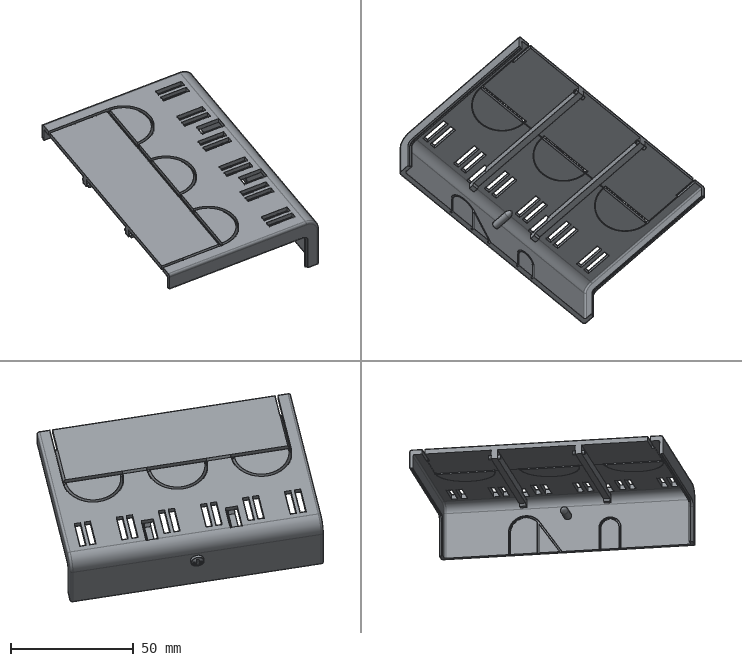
import cadquery as cq
import math

width = 105.0
depth = 70.0
height = 25.0
plate_thickness = 2.0
side_thickness = 1.5
bend_radius = 6.0
side_edge_radius = 1.0
inner_edge_radius = 0.7

side_drop = 8.0
side_leg = 6.0
lip_step_up = 0.4
lip_step_back = 0.7
lip_thickness = 0.6
lip_corner_radius = 2.0

pitch = 17.4
vent_width = 2.5
vent_spacing = 4.1
vent_front = 49.9
vent_back = 61.8
vent_pair_places = [(i - 2.5) * pitch for i in range(6)]
window_width = 4.9
window_front = 53.7
window_back = depth - bend_radius

groove_width = 1.2
groove_floor = 0.3
web_thickness = 0.3
slit_front = 26.7
slit_back = 28.1
disc_radius = 12.4
disc_pitch = 2 * pitch
disc_places = [-disc_pitch, 0, disc_pitch]
flap_edge = disc_pitch + disc_radius
open_groove_length = 9.9

rib_places = [-pitch, pitch]
rib_width = 2.6
rib_bottom = 19.3
finger_top = 21.6
finger_ramp = 1.0
finger_gap = 0.2
hook_drop = 1.0
hook_ramp = 0.6
hook_length = 2.6
pin_radius = 0.8
pin_length = 1.2
pin_center_y = 1.2

arch_center_z = 9.0
arch_groove_width = 0.7
arch_groove_depth = 0.9
wide_arch_radius = 7.1
narrow_arch_radius = 4.5
brace_angle = 35.0
wide_arch_right = 5.5

screw_z = 15.0
screw_head_radius = 2.7
screw_dome_radius = 2.5
screw_rim = 1.2
screw_head_height = 2.2
screw_shank_radius = 1.6
screw_shank_length = 9.5
screw_tip_length = 2.4
screw_tip_mid_radius = 1.2
screw_slot_width = 1.0
screw_slot_length = 3.8
screw_slot_depth = 0.7

plate_bottom = height - plate_thickness
wall_inside = depth - plate_thickness


def box(x0, x1, y0, y1, z0, z1):
    return cq.Workplane("XY").box(x1 - x0, y1 - y0, z1 - z0, centered=False).translate((x0, y0, z0))


def extrude_along_x(outline, x0, x1):
    """Extrude a closed YZ outline from x0 to x1."""
    return outline.extrude(x1 - x0).translate((x0, 0, 0))


def l_outline(drop, leg, corner_radius):
    """Filled L: front arm of the given drop, back leg of the given length."""
    arm_z = height - drop
    leg_y = depth - leg
    diagonal = corner_radius * (1 - math.sqrt(0.5))
    return (
        cq.Workplane("YZ")
        .moveTo(0, height)
        .lineTo(depth, height)
        .lineTo(depth, 0)
        .lineTo(leg_y, 0)
        .lineTo(leg_y, arm_z - corner_radius)
        .threePointArc((leg_y - diagonal, arm_z - diagonal), (leg_y - corner_radius, arm_z))
        .lineTo(0, arm_z)
        .close()
    )


def make_shell():
    body = box(-width / 2, width / 2, 0, depth, 0, height)
    body = body.edges("|X and >Y and >Z").fillet(bend_radius)
    body = body.faces(">Z").edges("|Y").fillet(side_edge_radius)

    inner_half = width / 2 - side_thickness
    cavity = box(-inner_half, inner_half, -depth, wall_inside, -height, plate_bottom)
    cavity = cavity.edges("|X and >Y and >Z").fillet(bend_radius - plate_thickness)
    cavity = cavity.faces(">Z").edges("|Y").fillet(inner_edge_radius)
    body = body.cut(cavity)

    half = width / 2
    lip_half = half - side_thickness + lip_thickness
    lip_profile = extrude_along_x(l_outline(side_drop, side_leg, lip_corner_radius), -lip_half, lip_half)
    outer_outline = l_outline(
        side_drop - lip_step_up, side_leg - lip_step_back, lip_corner_radius + lip_step_up
    )
    outer_profile = extrude_along_x(outer_outline, -half, half)
    return body.intersect(lip_profile.union(outer_profile))


def cut_vents(body):
    for pair_x in vent_pair_places:
        for side in (-1, 1):
            x = pair_x + side * vent_spacing / 2
            vent = box(x - vent_width / 2, x + vent_width / 2, vent_front, vent_back, plate_bottom, height)
            body = body.cut(vent)
    return body


def cut_finger_windows(body):
    for x in rib_places:
        half = window_width / 2
        body = body.cut(box(x - half, x + half, window_front, window_back, plate_bottom, height))
    return body


def groove_profile(plane, outer, inner):
    """Groove with an upright outer wall, a narrow floor and a slope up to the inner edge."""
    floor_z = plate_bottom + web_thickness
    floor_end = outer + math.copysign(groove_floor, inner - outer)
    corners = [(outer, height), (outer, floor_z), (floor_end, floor_z), (inner, height)]
    return cq.Workplane(plane).polyline(corners).close()


def cut_half_discs(body):
    for x in disc_places:
        ring = groove_profile("XZ", disc_radius, disc_radius - groove_width)
        ring = ring.revolve(180, (0, 0, 0), (0, 1, 0)).translate((x, slit_back, 0))
        slit = box(x - disc_radius, x + disc_radius, slit_front, slit_back, plate_bottom, height)
        body = body.cut(ring).cut(slit)
    return body


def cut_flap_edges(body):
    bridge = groove_profile("YZ", slit_back, slit_front)
    body = body.cut(extrude_along_x(bridge, -disc_pitch, disc_pitch))

    for side in (-1, 1):
        outer = side * flap_edge
        inner = side * (flap_edge - groove_width)
        groove = groove_profile("XZ", outer, inner).extrude(-slit_back)
        opening = box(min(outer, inner), max(outer, inner), 0, open_groove_length, plate_bottom, height)
        body = body.cut(groove).cut(opening)
    return body


def make_rib():
    free_end = window_back - finger_gap
    outline = (
        cq.Workplane("YZ")
        .moveTo(0, plate_bottom)
        .lineTo(0, rib_bottom)
        .lineTo(free_end - hook_length, rib_bottom)
        .lineTo(free_end - hook_length + hook_ramp, rib_bottom - hook_drop)
        .lineTo(free_end, rib_bottom - hook_drop)
        .lineTo(free_end, finger_top)
        .lineTo(window_front + finger_ramp, finger_top)
        .lineTo(window_front, plate_bottom)
        .close()
    )
    rib = extrude_along_x(outline, -rib_width / 2, rib_width / 2)
    pin_reach = rib_width / 2 + pin_length
    pins = cq.Workplane("YZ").center(pin_center_y, rib_bottom + pin_radius).circle(pin_radius)
    return rib.union(extrude_along_x(pins, -pin_reach, pin_reach))


def wall_groove(outline):
    """Cutter standing in the inner face of the back wall."""
    return outline.extrude(-arch_groove_depth).translate((0, wall_inside, 0))


def arch_outline(x, radius):
    return (
        cq.Workplane("XZ")
        .moveTo(x - radius, 0)
        .lineTo(x - radius, arch_center_z)
        .threePointArc((x, arch_center_z + radius), (x + radius, arch_center_z))
        .lineTo(x + radius, 0)
        .close()
    )


def braced_arch_outline(x, radius):
    """Arch whose right side runs off along a slanted tangent down to Z = 0."""
    c = math.cos(math.radians(brace_angle))
    s = math.sin(math.radians(brace_angle))
    tangent = (x + radius * c, arch_center_z + radius * s)
    foot_x = tangent[0] + tangent[1] * s / c
    return (
        cq.Workplane("XZ")
        .moveTo(x - radius, 0)
        .lineTo(x - radius, arch_center_z)
        .threePointArc((x, arch_center_z + radius), tangent)
        .lineTo(foot_x, 0)
        .close()
    )


def cut_arches(body):
    left_x, right_x = rib_places
    narrow_inner = narrow_arch_radius - arch_groove_width
    wide_inner = wide_arch_radius - arch_groove_width

    narrow = wall_groove(arch_outline(right_x, narrow_arch_radius))
    narrow = narrow.cut(wall_groove(arch_outline(right_x, narrow_inner)))

    wide = wall_groove(braced_arch_outline(left_x, wide_arch_radius))
    wide_core = wall_groove(braced_arch_outline(left_x, wide_inner))
    upright_x = left_x + wide_arch_right
    upright = box(upright_x - arch_groove_width, upright_x, 0, depth, 0, height)
    wide = wide.cut(wide_core.cut(upright))

    return body.cut(narrow).cut(wide)


def make_screw():
    dome_rise = screw_head_height - screw_rim
    dome_sphere_radius = (screw_dome_radius**2 + dome_rise**2) / (2 * dome_rise)
    tip_end = -(screw_shank_length + screw_tip_length)
    profile = (
        cq.Workplane("XY")
        .moveTo(0, tip_end)
        .threePointArc(
            (screw_tip_mid_radius, -screw_shank_length - screw_tip_length / 2),
            (screw_shank_radius, -screw_shank_length),
        )
        .lineTo(screw_shank_radius, 0)
        .lineTo(screw_head_radius, 0)
        .lineTo(screw_head_radius, screw_rim)
        .lineTo(screw_dome_radius, screw_rim)
        .radiusArc((0, screw_head_height), -dome_sphere_radius)
        .close()
    )
    screw = profile.revolve(360, (0, 0, 0), (0, 1, 0))
    a = screw_slot_width / 2
    b = screw_slot_length / 2
    floor = screw_head_height - screw_slot_depth
    screw = screw.cut(box(-a, a, floor, screw_head_height, -b, b))
    screw = screw.cut(box(-b, b, floor, screw_head_height, -a, a))
    return screw.translate((0, depth, screw_z))


result = make_shell()
for rib_x in rib_places:
    result = result.union(make_rib().translate((rib_x, 0, 0)))
result = cut_vents(result)
result = cut_finger_windows(result)
result = cut_half_discs(result)
result = cut_flap_edges(result)
result = cut_arches(result)
result = result.union(make_screw())